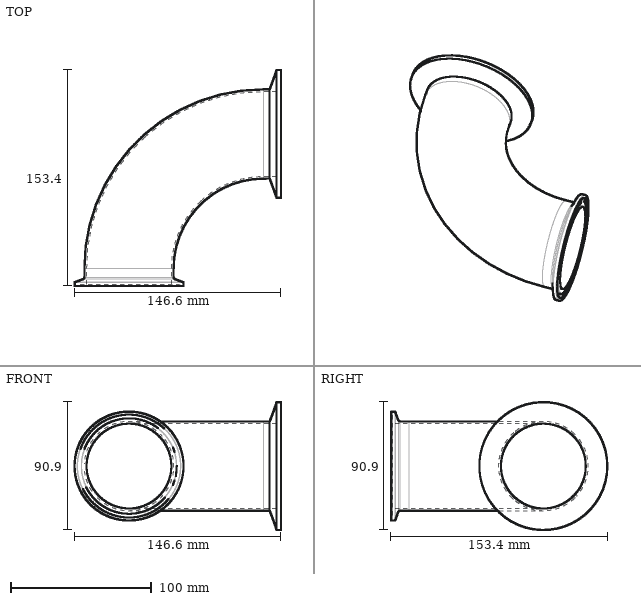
import cadquery as cq
import math

tube_od = 63.5
bore_dia = 60.2
bend_radius = 1.5 * tube_od
tangent_length = 12.7
flange_angle = 20.0

small_flange_dia = 77.39
small_rim_thickness = 2.85
neck_fillet = 1.2
rim_round = 0.4

large_flange_dia = 90.91
large_rim_thickness = 3.2

groove_pitch_dia = 70.4
groove_radius = 1.4
groove_depth = 1.1
groove_lip_round = 0.3

tube_radius = tube_od / 2
bore_radius = bore_dia / 2
center_to_face = bend_radius + tangent_length

match_tolerance = 0.01


def slope_rise(flange_dia):
    """Length along the axis of a flange's sloping back."""
    return (flange_dia - tube_od) / 2 * math.tan(math.radians(flange_angle))


def ferrule_blank(flange_dia, rim_thickness):
    """Solid neck and flange about the Y axis: flange face at y = 0, tube end at y = tangent_length."""
    flange_radius = flange_dia / 2
    profile = (
        cq.Workplane("XY")
        .moveTo(0, 0)
        .lineTo(flange_radius, 0)
        .lineTo(flange_radius, rim_thickness)
        .lineTo(tube_radius, rim_thickness + slope_rise(flange_dia))
        .lineTo(tube_radius, tangent_length)
        .lineTo(0, tangent_length)
        .close()
    )
    return profile.revolve(360, (0, 0, 0), (0, 1, 0))


def circles_of_diameter(body, diameter):
    """Circular edges of a body that have the given diameter."""
    circles = body.edges("%CIRCLE")
    return circles.filter(lambda edge: abs(2 * edge.radius() - diameter) < match_tolerance)


def groove_half_width():
    """Half the groove's width at the flange face, before its lips are rounded."""
    return math.sqrt(groove_radius**2 - (groove_radius - groove_depth) ** 2)


def cut_gasket_groove(body):
    """Cut a round-bottomed ring groove into the face at y = 0 and round its two lips."""
    pitch_radius = groove_pitch_dia / 2
    inner_radius = pitch_radius - groove_half_width()
    outer_radius = pitch_radius + groove_half_width()
    groove = (
        cq.Workplane("XY")
        .moveTo(inner_radius, 0)
        .threePointArc((pitch_radius, groove_depth), (outer_radius, 0))
        .close()
        .revolve(360, (0, 0, 0), (0, 1, 0))
    )
    body = body.cut(groove)
    for lip_radius in (inner_radius, outer_radius):
        body = circles_of_diameter(body, 2 * lip_radius).fillet(groove_lip_round)
    return body


def small_ferrule():
    """Ferrule facing -Y, with rounded edges and a gasket groove in its face."""
    body = ferrule_blank(small_flange_dia, small_rim_thickness)
    body = circles_of_diameter(body, small_flange_dia).fillet(rim_round)
    neck_corner_y = small_rim_thickness + slope_rise(small_flange_dia)
    neck_corner = body.edges("%CIRCLE").filter(
        lambda edge: abs(edge.Center().y - neck_corner_y) < match_tolerance
    )
    return cut_gasket_groove(neck_corner.fillet(neck_fillet))


def large_ferrule():
    """Plain-faced, sharp-edged ferrule turned to face +X."""
    body = ferrule_blank(large_flange_dia, large_rim_thickness)
    return body.rotate((0, 0, 0), (0, 0, 1), 90).translate((center_to_face, center_to_face, 0))


def bend(radius):
    """Quarter torus from the small ferrule's neck to the large ferrule's neck."""
    return (
        cq.Workplane("XZ", origin=(0, tangent_length, 0))
        .circle(radius)
        .revolve(90, (bend_radius, 0, 0), (bend_radius, -1, 0))
    )


def passages():
    """Flow passage as three solids: small ferrule, bend and large ferrule."""
    small_end = cq.Workplane("XZ").circle(bore_radius).extrude(-tangent_length)
    large_end = (
        cq.Workplane("YZ", origin=(bend_radius, center_to_face, 0))
        .circle(bore_radius)
        .extrude(tangent_length)
    )
    return small_end, bend(bore_radius), large_end


result = bend(tube_radius).union(small_ferrule()).union(large_ferrule())
for passage in passages():
    result = result.cut(passage)